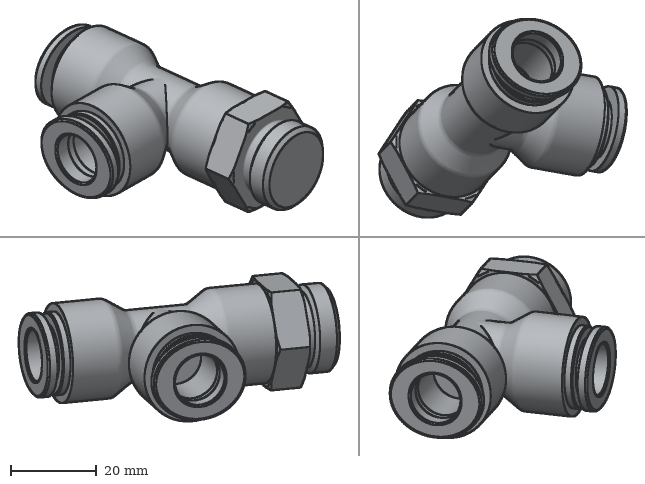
import cadquery as cq
import math


RUN_LEFT = 180
RUN_RIGHT = 0
BRANCH = -90
TUBE_ARMS = (RUN_LEFT, BRANCH)

arm_dia = 23.5
neck_dia = 16.95
neck_end = 7.9
cone_end = 13.1
arm_end = 25.0
blend_radius = 2.0
corner_reach = 0.15

socket_dia = 12.2
socket_bottom = cone_end

collar_dia = 19.6
collar_length = 1.9
collar_chamfer = 0.3
collar_end = arm_end + collar_length

stem_dia = 14.2
flange_width = 22.6
flange_height = 19.6
flange_thickness = 2.25
flange_chamfer = 0.4
sleeve_end = 30.9
sleeve_bore = 12.15
mouth_dia = 13.0
mouth_depth = 0.35

hex_flats = 24.0
hex_end = 33.1
hex_chamfer_dia = 25.1
hex_chamfer_length = 0.4
groove_dia = 18.2
groove_fillet = 0.35
groove_end = 35.5
thread_dia = 20.9
thread_runout = 0.8
thread_chamfer = 1.1
nipple_end = 41.5
hex_corners = hex_flats / math.cos(math.radians(30))


def turned(points):
    """Solid of revolution about X from (axial position, radius) points."""
    return cq.Workplane("XY").polyline(points).close().revolve(360, (0, 0), (1, 0))


def rod(dia, start, end):
    """Round rod along X."""
    return cq.Workplane("YZ", origin=(start, 0, 0)).circle(dia / 2).extrude(end - start)


def turn_to(part, angle):
    return part.rotate((0, 0, 0), (0, 0, 1), angle)


def make_arm():
    """One housing arm: neck, cone and cylinder with blended transitions."""
    arm = turned([
        (0, 0),
        (0, neck_dia / 2),
        (neck_end, neck_dia / 2),
        (cone_end, arm_dia / 2),
        (arm_end, arm_dia / 2),
        (arm_end, 0),
    ])
    for corner in (neck_end, cone_end):
        ring = cq.selectors.BoxSelector(
            (corner - corner_reach, -arm_dia, -arm_dia),
            (corner + corner_reach, arm_dia, arm_dia),
        )
        arm = arm.edges("%CIRCLE").edges(ring).fillet(blend_radius)
    return arm


def make_housing():
    arm = make_arm()
    housing = turn_to(arm, RUN_LEFT).union(turn_to(arm, RUN_RIGHT)).union(turn_to(arm, BRANCH))
    socket = rod(socket_dia, socket_bottom, arm_end)
    for angle in TUBE_ARMS:
        housing = housing.cut(turn_to(socket, angle))
    return housing


def make_collar():
    collar = rod(collar_dia, arm_end, collar_end).faces(">X").chamfer(collar_chamfer)
    return collar.cut(rod(socket_dia, arm_end, collar_end))


def make_sleeve():
    flange_start = sleeve_end - flange_thickness
    flange = (
        cq.Workplane("YZ", origin=(flange_start, 0, 0))
        .ellipse(flange_width / 2, flange_height / 2)
        .extrude(flange_thickness)
        .faces(">X")
        .chamfer(flange_chamfer)
    )
    stem = rod(stem_dia, collar_end, flange_start)
    bore = rod(sleeve_bore, collar_end, sleeve_end)
    mouth = turned([
        (sleeve_end - mouth_depth, 0),
        (sleeve_end - mouth_depth, sleeve_bore / 2),
        (sleeve_end, mouth_dia / 2),
        (sleeve_end, 0),
    ])
    return flange.union(stem).cut(bore).cut(mouth)


def make_hexagon():
    """Hexagon with corners on the Y axis and cone-chamfered ends."""
    hexagon = (
        cq.Workplane("YZ", origin=(arm_end, 0, 0))
        .polygon(6, hex_corners)
        .extrude(hex_end - arm_end)
    )
    chamfer_envelope = turned([
        (arm_end, 0),
        (arm_end, hex_chamfer_dia / 2),
        (arm_end + hex_chamfer_length, hex_corners / 2),
        (hex_end - hex_chamfer_length, hex_corners / 2),
        (hex_end, hex_chamfer_dia / 2),
        (hex_end, 0),
    ])
    return hexagon.intersect(chamfer_envelope)


def make_nipple():
    groove_radius = groove_dia / 2
    thread_radius = thread_dia / 2
    threaded_end = (
        cq.Workplane("XY")
        .moveTo(hex_end, 0)
        .lineTo(hex_end, groove_radius + groove_fillet)
        .radiusArc((hex_end + groove_fillet, groove_radius), -groove_fillet)
        .lineTo(groove_end, groove_radius)
        .lineTo(groove_end + thread_runout, thread_radius)
        .lineTo(nipple_end - thread_chamfer, thread_radius)
        .lineTo(nipple_end, thread_radius - thread_chamfer)
        .lineTo(nipple_end, 0)
        .close()
        .revolve(360, (0, 0), (1, 0))
    )
    return make_hexagon().union(threaded_end)


housing = make_housing()
collars = [turn_to(make_collar(), angle) for angle in TUBE_ARMS]
sleeves = [turn_to(make_sleeve(), angle) for angle in TUBE_ARMS]
nipple = make_nipple()

result = cq.Compound.makeCompound([
    housing.val(),
    *[collar.val() for collar in collars],
    *[sleeve.val() for sleeve in sleeves],
    nipple.val(),
])